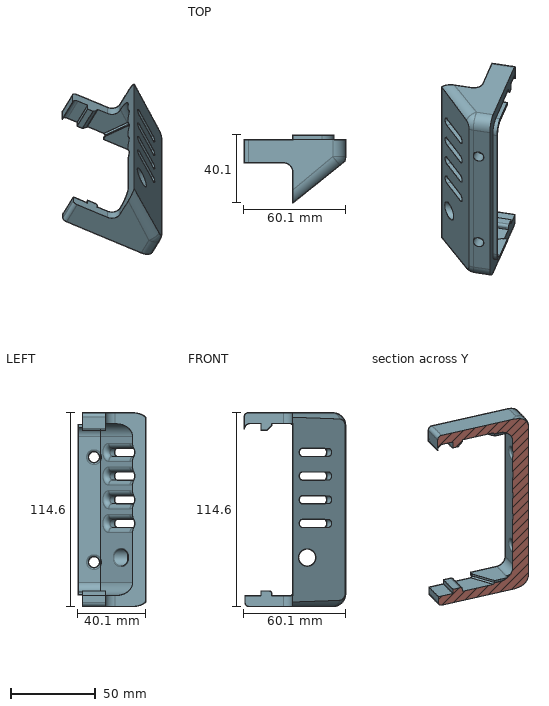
import cadquery as cq
import math


HEIGHT = 114.55
WIDTH = 60.06
ARM_DEPTH = 13.8
ARM_THICKNESS = 6.5
OPENING_X = 28.7
TIP_Y = -37.55
ARM_CORNER_RADIUS = 5.5
SLANT_ANGLE = 38.7
MARGIN = 20.0

ROUND_ANGLE = 39.85
ROUND_RADIUS = 7.7
ROUND_CORNER_RADIUS = 7.75
ROUND_SLANT_Y = -39.9

CAVITY_SLANT_Y = -29.7
CAVITY_RIGHT_X = 51.35
CAVITY_RADIUS = 7.7

LIP_HEIGHT = 2.54
LIP_THICKNESS = 1.75
LIP_INSET = 6.95
LIP_OUTER_RADIUS = 7.2
LIP_FRONT_Y = -12.9
LIP_FRONT_X = 37.3
LIP_WALL_Y = -10.65
RAMP_SIZE = 0.9
RAMP_ANGLE = 45.0

END_RADIUS = 2.5
LOWER_ARM_START = 0.45
HOOK_RADIUS = 3.25
HOOK_TIP_WIDTH = 0.25
TOOTH_START = 9.9
TOOTH_END = 16.4
UPPER_TOOTH_HEIGHT = 4.0
UPPER_TOOTH_CHAMFER = 2.9
LOWER_TOOTH_HEIGHT = 2.8
LOWER_TOOTH_RADIUS = 1.7

SLOT_COUNT = 4
SLOT_PITCH = 14.0
SLOT_LOWEST_Z = -8.15
SLOT_START_X = 32.65
SLOT_END_X = 51.67
SLOT_WIDTH = 4.7
SLOT_FLARE = 3.0
SLOT_PAD = 0.5

CABLE_HOLE_X = 37.25
CABLE_HOLE_Z = -28.3
CABLE_HOLE_DIAMETER = 10.0
CABLE_HOLE_ROUNDING = 0.4
SCREW_HOLE_Y = -ARM_DEPTH / 2
SCREW_HOLE_Z = 31.0
SCREW_HOLE_DIAMETER = 6.4
SCREW_HOLE_ROUNDING = 1.15

HALF = HEIGHT / 2
ARM_Z = HALF - ARM_THICKNESS
LIP_Z = HALF - LIP_INSET
CHANNEL_Z = LIP_Z - LIP_THICKNESS


def slant_y(x, start_y, angle):
    """Y at x on a line that starts at (OPENING_X, start_y)."""
    return start_y + (x - OPENING_X) * math.tan(math.radians(angle))


def prism(points, bottom, top):
    return cq.Workplane("XY").workplane(offset=bottom).polyline(points).close().extrude(top - bottom)


def along_y(points, y_min, y_max):
    """Extrude an XZ outline from y_min to y_max."""
    return cq.Workplane("XZ", origin=(0, y_max, 0)).polyline(points).close().extrude(y_max - y_min)


def rounded_prism(right_x, start_y, back_y, half_height, corner_radius, edge_radius):
    """Prism with a right and a slanted side, rounded along its top and bottom edges."""
    left_x = -MARGIN
    corner = (right_x, slant_y(right_x, start_y, ROUND_ANGLE))
    outline = [(left_x, back_y), (right_x, back_y), corner, (left_x, slant_y(left_x, start_y, ROUND_ANGLE))]
    body = prism(outline, -half_height, half_height)
    if corner_radius:
        body = body.edges(cq.selectors.NearestToPointSelector((*corner, 0))).fillet(corner_radius)
    return body.faces("|Z").edges("not (<X or >Y)").fillet(edge_radius)


def make_frame():
    """Frame outline seen from above, trimmed to the rounded envelope."""
    outline = [
        (LOWER_ARM_START, 0),
        (WIDTH, 0),
        (WIDTH, slant_y(WIDTH, TIP_Y, SLANT_ANGLE)),
        (OPENING_X, TIP_Y),
        (OPENING_X, -ARM_DEPTH),
        (LOWER_ARM_START, -ARM_DEPTH),
    ]
    inner_corner = cq.selectors.NearestToPointSelector((OPENING_X, -ARM_DEPTH, 0))
    plan = prism(outline, -HALF, HALF).edges(inner_corner).fillet(ARM_CORNER_RADIUS)
    envelope = rounded_prism(WIDTH, ROUND_SLANT_Y, 0, HALF, ROUND_CORNER_RADIUS, ROUND_RADIUS)
    upper_end = cq.Workplane("XY").box(
        2 * LOWER_ARM_START, ARM_DEPTH, ARM_THICKNESS, centered=(True, False, False)
    ).translate((LOWER_ARM_START, -ARM_DEPTH, ARM_Z))
    frame = plan.intersect(envelope).union(upper_end)
    lower_corner = cq.selectors.NearestToPointSelector((LOWER_ARM_START, -ARM_DEPTH / 2, -HALF))
    upper_corner = cq.selectors.NearestToPointSelector((0, -ARM_DEPTH / 2, HALF))
    return frame.edges(lower_corner).fillet(END_RADIUS).edges(upper_corner).fillet(END_RADIUS)


def make_cavity():
    return rounded_prism(CAVITY_RIGHT_X, CAVITY_SLANT_Y, MARGIN, ARM_Z, 0, CAVITY_RADIUS)


def channel(right_x, half_height, radius, y_min, y_max):
    """Bar along Y, rounded at its two right-hand edges."""
    left_x = OPENING_X - MARGIN
    outline = [(left_x, -half_height), (right_x, -half_height), (right_x, half_height), (left_x, half_height)]
    return along_y(outline, y_min, y_max).edges(">X and |Y").fillet(radius)


def make_lip():
    """Locating lip behind the frame, with its plates on the arm floors."""
    collar_box = prism([(OPENING_X, 0), (WIDTH, 0), (WIDTH, LIP_HEIGHT), (OPENING_X, LIP_HEIGHT)], -HALF, HALF)
    collar = channel(CAVITY_RIGHT_X + LIP_THICKNESS, LIP_Z, LIP_OUTER_RADIUS, 0, LIP_HEIGHT)
    lip = collar.intersect(collar_box)

    plate = [(OPENING_X, 0), (CAVITY_RIGHT_X, 0), (CAVITY_RIGHT_X, LIP_FRONT_Y), (LIP_FRONT_X, LIP_FRONT_Y)]
    behind = cq.Workplane("XY").box(4 * WIDTH, MARGIN, 4 * HEIGHT).translate((0, MARGIN / 2, 0))
    floor = cq.Workplane("XY").workplane(offset=-ARM_Z).polyline(plate).close()
    ramp = floor.offset2D(RAMP_SIZE, "intersection").extrude(RAMP_SIZE, taper=RAMP_ANGLE).cut(behind)
    corner_fill = prism(
        [(OPENING_X, 0), (CAVITY_RIGHT_X, 0), (CAVITY_RIGHT_X, LIP_WALL_Y), (LIP_FRONT_X, LIP_WALL_Y)],
        -ARM_Z,
        ARM_Z,
    )
    lower_plate = prism(plate, -ARM_Z, -CHANNEL_Z).union(ramp)
    return lip.union(corner_fill).union(lower_plate).union(lower_plate.mirror("XY"))


def make_lip_channel():
    """Inside of the lip, open to the back."""
    radius = LIP_OUTER_RADIUS - LIP_THICKNESS
    return channel(CAVITY_RIGHT_X, CHANNEL_Z, radius, LIP_WALL_Y, LIP_HEIGHT)


def make_upper_clip():
    """Hook and chamfered tooth under the upper arm."""
    hook_z = ARM_Z - HOOK_RADIUS
    arc_offset = HOOK_RADIUS * math.sqrt(0.5)
    hook_end = HOOK_TIP_WIDTH + HOOK_RADIUS
    hook = (
        cq.Workplane("XZ")
        .moveTo(0, ARM_Z)
        .lineTo(0, hook_z)
        .lineTo(HOOK_TIP_WIDTH, hook_z)
        .threePointArc((hook_end - arc_offset, hook_z + arc_offset), (hook_end, ARM_Z))
        .close()
        .extrude(ARM_DEPTH)
    )
    tooth_z = ARM_Z - UPPER_TOOTH_HEIGHT
    tooth = [
        (TOOTH_START, ARM_Z),
        (TOOTH_START, tooth_z),
        (TOOTH_END - UPPER_TOOTH_CHAMFER, tooth_z),
        (TOOTH_END, tooth_z + UPPER_TOOTH_CHAMFER),
        (TOOTH_END, ARM_Z),
    ]
    return hook.union(along_y(tooth, -ARM_DEPTH, 0))


def make_lower_tooth():
    """Rounded tooth on the lower arm."""
    tooth_z = -ARM_Z + LOWER_TOOTH_HEIGHT
    outline = [(TOOTH_START, -ARM_Z), (TOOTH_END, -ARM_Z), (TOOTH_END, tooth_z), (TOOTH_START, tooth_z)]
    tooth = along_y(outline, -ARM_DEPTH, 0)
    return tooth.edges(">X and >Z").fillet(LOWER_TOOTH_RADIUS)


def make_slot_cutter(z):
    """Slot square to the cavity wall, flaring out where it meets the cavity."""
    angle = math.radians(ROUND_ANGLE)
    middle_x = (SLOT_START_X + SLOT_END_X) / 2
    middle_y = slant_y(middle_x, TIP_Y, SLANT_ANGLE)
    wall = (slant_y(middle_x, CAVITY_SLANT_Y, ROUND_ANGLE) - middle_y) * math.cos(angle)
    length = (SLOT_END_X - SLOT_START_X) / math.cos(math.radians(SLANT_ANGLE))
    cavity_wall = cq.Plane(
        origin=(middle_x - wall * math.sin(angle), middle_y + wall * math.cos(angle), z),
        xDir=(math.cos(angle), math.sin(angle), 0),
        normal=(-math.sin(angle), math.cos(angle), 0),
    )
    flare_margin = 2 * SLOT_FLARE + SLOT_PAD
    pad = (
        cq.Workplane(cavity_wall)
        .slot2D(length + flare_margin, SLOT_WIDTH + flare_margin)
        .extrude(SLOT_PAD)
    )
    slot = cq.Workplane(cavity_wall).slot2D(length, SLOT_WIDTH).extrude(-2 * wall)
    cutter = pad.union(slot)
    wall_face = cutter.faces(cq.selectors.NearestToPointSelector(cavity_wall.origin))
    rim = wall_face.val().innerWires()[0].Edges()
    return cutter.newObject(rim).fillet(SLOT_FLARE)


def cut_cable_hole(body):
    """Hole along Y through the slanted wall, with its rim in the cavity rounded."""
    start = cq.Workplane("XZ", origin=(CABLE_HOLE_X, 0, CABLE_HOLE_Z))
    drilled = body.cut(start.circle(CABLE_HOLE_DIAMETER / 2).extrude(-TIP_Y))
    rim_y = slant_y(CABLE_HOLE_X, CAVITY_SLANT_Y, ROUND_ANGLE)
    rim = cq.selectors.NearestToPointSelector((CABLE_HOLE_X, rim_y, CABLE_HOLE_Z))
    return drilled.edges(rim).fillet(CABLE_HOLE_ROUNDING)


def make_screw_hole(z):
    """Hole through the right wall, with a rounded mouth inside the cavity."""
    radius = SCREW_HOLE_DIAMETER / 2
    start = CAVITY_RIGHT_X
    curve_end = start + SCREW_HOLE_ROUNDING
    curve_centre = radius + SCREW_HOLE_ROUNDING
    arc_offset = SCREW_HOLE_ROUNDING * math.sqrt(0.5)
    profile = (
        cq.Workplane("XY", origin=(0, SCREW_HOLE_Y, z))
        .moveTo(start, 0)
        .lineTo(start, curve_centre)
        .threePointArc((curve_end - arc_offset, curve_centre - arc_offset), (curve_end, radius))
        .lineTo(WIDTH + MARGIN, radius)
        .lineTo(WIDTH + MARGIN, 0)
        .close()
    )
    return profile.revolve(360, (0, 0, 0), (1, 0, 0))


frame = make_frame().cut(make_cavity())
frame = frame.union(make_lip()).cut(make_lip_channel())
frame = frame.union(make_upper_clip()).union(make_lower_tooth())
for index in range(SLOT_COUNT):
    frame = frame.cut(make_slot_cutter(SLOT_LOWEST_Z + index * SLOT_PITCH))
for z in (-SCREW_HOLE_Z, SCREW_HOLE_Z):
    frame = frame.cut(make_screw_hole(z))
result = cut_cable_hole(frame)